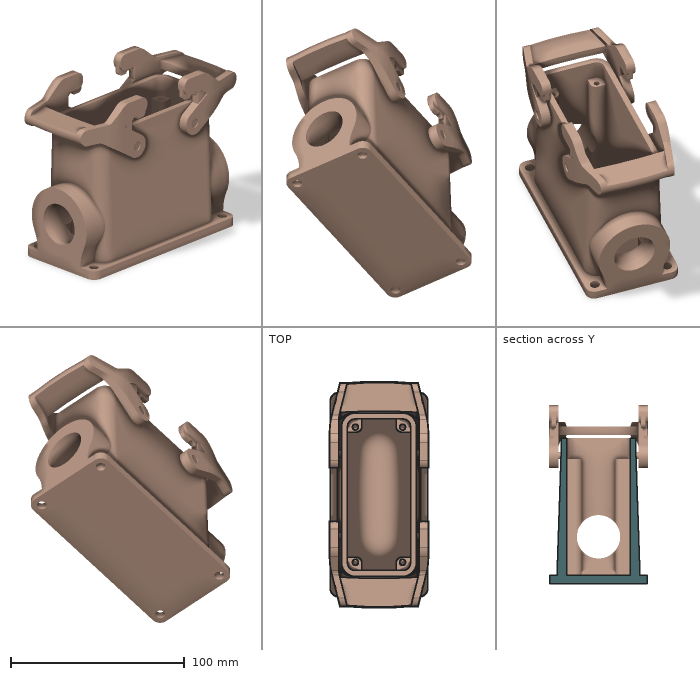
import cadquery as cq
import math


FLANGE_WIDTH = 56.4
FLANGE_LENGTH = 117.7
FLANGE_HEIGHT = 5.4
FLANGE_CORNER_RADIUS = 5.4
MOUNT_HOLE_DIAMETER = 5.7
MOUNT_HOLE_INSET = 6.0

BODY_LENGTH = 94.0
BODY_BASE_WIDTH = 48.0
RIM_WIDTH = 43.0
RIM_HEIGHT = 5.2
BODY_TOP = 84.0
BODY_CORNER_RADIUS = 7.8
WALL = 3.4
RIM_BOTTOM = BODY_TOP - RIM_HEIGHT
CAVITY_WIDTH = RIM_WIDTH - 2 * WALL
CAVITY_LENGTH = BODY_LENGTH - 2 * WALL
CAVITY_CORNER_RADIUS = BODY_CORNER_RADIUS - WALL

POST_TOP = 71.9
POST_HOLE_X = 13.6
POST_HOLE_Y = 38.9
POST_INNER_X = 9.8
POST_INNER_Y = 36.0
POST_CORNER_RADIUS = 3.4
POST_HOLE_DIAMETER = 3.4
POST_HOLE_DEPTH = 13.0

ENTRY_Z = 27.3
ENTRY_RADIUS = 21.9
ENTRY_BORE_DIAMETER = 24.9
ENTRY_NECK_HALF_WIDTH = 17.1
ENTRY_INNER_Y = BODY_LENGTH / 2 - 5.2

LEVER_OUTER_X = 28.51
LEVER_INNER_X = 23.1
LEVER_TOP = 103.0
PIVOT_Y = 23.8
PIVOT_Z = 74.0
PIVOT_END_RADIUS = 7.0
PIVOT_PIN_DIAMETER = 4.2
PIVOT_PIN_INNER_X = 20.9
PIVOT_RECESS_DIAMETER = 5.5
RECESS_DEPTH = 0.7
LINK_ANGLE = math.radians(33)

HOOK_TIP_Y = 15.4
HOOK_RADIUS = 4.3
HOOK_UNDERSIDE_Z = 93.0
NOSE_BOTTOM_Z = 89.9
NOSE_RADIUS = 2.6
NOSE_INNER_STEP = 1.3
NOSE_OUTER_STEP = 1.6
WEB_Y = 27.3
CATCH_RADIUS = 2.2
CATCH_Z = 89.5
NOTCH_BEND_Y = 29.0
NOTCH_BEND_RADIUS = 2.6
NOTCH_CORNER_Y = 34.2

SHOULDER_Y = 33.1
SHOULDER_RADIUS = 8.1
HANDLE_START_Y = 44.6
HANDLE_START_RADIUS = 4.0
HANDLE_END_Y = 64.3
HANDLE_TOP = 93.3
HANDLE_BOTTOM = 83.4
HANDLE_LINK_RADIUS = 7.7
HANDLE_END_RADIUS = (HANDLE_TOP - HANDLE_BOTTOM) / 2
HANDLE_MID_Z = (HANDLE_TOP + HANDLE_BOTTOM) / 2

BEND_ANGLE = math.radians(14)
OUTER_BEND_Y = 40.2
OUTER_BEND_RADIUS = 37.8
INNER_BEND_Y = 45.0
INNER_BEND_RADIUS = 15.7

BAR_THICKNESS = 5.0
BAR_INNER_SIDE_Y = 47.4
BAR_INNER_MID_Y = 48.2
BAR_OUTER_MID_Y = 65.2
BAR_OVERLAP = 1.3
BAR_OUTER_HALF_WIDTH = 18.3
BAR_BULGE = BAR_OUTER_MID_Y - HANDLE_END_Y
BAR_BOW_RADIUS = (BAR_OUTER_HALF_WIDTH**2 + BAR_BULGE**2) / (2 * BAR_BULGE)


def rounded_outline(plane, corners):
    """Closed outline through (u, v, radius) corners, each rounded by its radius."""
    starts, middles, ends = [], [], []
    for i, (u, v, radius) in enumerate(corners):
        corner = cq.Vector(u, v)
        to_previous = (cq.Vector(*corners[i - 1][:2]) - corner).normalized()
        to_next = (cq.Vector(*corners[(i + 1) % len(corners)][:2]) - corner).normalized()
        half_angle = to_previous.getAngle(to_next) / 2
        setback = radius / math.tan(half_angle)
        to_arc = radius / math.sin(half_angle) - radius
        starts.append(corner + to_previous * setback)
        middles.append(corner + (to_previous + to_next).normalized() * to_arc)
        ends.append(corner + to_next * setback)

    outline = cq.Workplane(plane).moveTo(ends[-1].x, ends[-1].y)
    position = ends[-1]
    for (_, _, radius), start, middle, end in zip(corners, starts, middles, ends):
        if (start - position).Length > 1.3e-06:
            outline = outline.lineTo(start.x, start.y)
        if radius > 0:
            outline = outline.threePointArc((middle.x, middle.y), (end.x, end.y))
        position = end
    return outline.close()


def upright_prism(bottom_width, top_width, length, z_bottom, z_top, corner_radius):
    """Block whose X width changes with height, with its four upright edges rounded."""
    block = (
        cq.Workplane("XZ")
        .polyline([
            (-bottom_width / 2, z_bottom),
            (bottom_width / 2, z_bottom),
            (top_width / 2, z_top),
            (-top_width / 2, z_top),
        ])
        .close()
        .extrude(length / 2, both=True)
    )
    return block.edges("(not |X) and (not |Y)").fillet(corner_radius)


def make_flange():
    hole_spacing_x = FLANGE_WIDTH - 2 * MOUNT_HOLE_INSET
    hole_spacing_y = FLANGE_LENGTH - 2 * MOUNT_HOLE_INSET
    return (
        cq.Workplane("XY")
        .rect(FLANGE_WIDTH, FLANGE_LENGTH)
        .extrude(FLANGE_HEIGHT)
        .edges("|Z")
        .fillet(FLANGE_CORNER_RADIUS)
        .faces(">Z")
        .workplane()
        .rect(hole_spacing_x, hole_spacing_y, forConstruction=True)
        .vertices()
        .hole(MOUNT_HOLE_DIAMETER)
    )


def make_shell_block():
    tapered = upright_prism(
        BODY_BASE_WIDTH, RIM_WIDTH, BODY_LENGTH, FLANGE_HEIGHT, RIM_BOTTOM, BODY_CORNER_RADIUS
    )
    rim = upright_prism(RIM_WIDTH, RIM_WIDTH, BODY_LENGTH, RIM_BOTTOM, BODY_TOP, BODY_CORNER_RADIUS)
    return tapered.union(rim)


def make_cavity():
    return (
        cq.Workplane("XY", origin=(0, 0, FLANGE_HEIGHT))
        .rect(CAVITY_WIDTH, CAVITY_LENGTH)
        .extrude(BODY_TOP - FLANGE_HEIGHT)
        .edges("|Z")
        .fillet(CAVITY_CORNER_RADIUS)
    )


def make_posts(shell_block):
    """Four corner posts, trimmed to the outside of the shell."""
    size_x = BODY_BASE_WIDTH / 2 - POST_INNER_X
    size_y = BODY_LENGTH / 2 - POST_INNER_Y
    post = (
        cq.Workplane("XY", origin=(POST_INNER_X, POST_INNER_Y, FLANGE_HEIGHT))
        .rect(size_x, size_y, centered=False)
        .extrude(POST_TOP - FLANGE_HEIGHT)
        .edges("|Z and <X and <Y")
        .fillet(POST_CORNER_RADIUS)
    )
    hole = (
        cq.Workplane("XY", origin=(POST_HOLE_X, POST_HOLE_Y, POST_TOP))
        .circle(POST_HOLE_DIAMETER / 2)
        .extrude(-POST_HOLE_DEPTH)
    )
    post = post.intersect(shell_block).cut(hole)
    pair = post.union(post.mirror("YZ"))
    return pair.union(pair.mirror("XZ"))


def make_entry():
    """Round cable entry on the -Y end, flowing into a neck on the foot."""
    rise = ENTRY_Z - FLANGE_HEIGHT
    neck_radius = (ENTRY_NECK_HALF_WIDTH**2 + rise**2 - ENTRY_RADIUS**2) / (
        2 * (ENTRY_RADIUS - ENTRY_NECK_HALF_WIDTH)
    )
    neck_centre_x = ENTRY_NECK_HALF_WIDTH + neck_radius
    neck_angle = math.asin(rise / (ENTRY_RADIUS + neck_radius))
    tangent_x = ENTRY_RADIUS * math.cos(neck_angle)
    tangent_z = ENTRY_Z - ENTRY_RADIUS * math.sin(neck_angle)
    neck_mid_x = neck_centre_x - neck_radius * math.cos(neck_angle / 2)
    neck_mid_z = FLANGE_HEIGHT + neck_radius * math.sin(neck_angle / 2)
    return (
        cq.Workplane("XZ", origin=(0, -ENTRY_INNER_Y, 0))
        .moveTo(-ENTRY_NECK_HALF_WIDTH, 0)
        .lineTo(ENTRY_NECK_HALF_WIDTH, 0)
        .lineTo(ENTRY_NECK_HALF_WIDTH, FLANGE_HEIGHT)
        .threePointArc((neck_mid_x, neck_mid_z), (tangent_x, tangent_z))
        .threePointArc((0, ENTRY_Z + ENTRY_RADIUS), (-tangent_x, tangent_z))
        .threePointArc((-neck_mid_x, neck_mid_z), (-ENTRY_NECK_HALF_WIDTH, FLANGE_HEIGHT))
        .close()
        .extrude(FLANGE_LENGTH / 2 - ENTRY_INNER_Y)
    )


def link_upper_z(y):
    """Height of the upper edge of the sloping link at distance y."""
    return PIVOT_Z + PIVOT_END_RADIUS / math.cos(LINK_ANGLE) + (y - PIVOT_Y) * math.tan(LINK_ANGLE)


def arm_side_profile():
    """Side outline of a lever arm, extruded from the middle of the part past its outer face."""
    along_y = PIVOT_END_RADIUS * math.cos(LINK_ANGLE)
    along_z = PIVOT_END_RADIUS * math.sin(LINK_ANGLE)
    link_half_height = PIVOT_END_RADIUS / math.cos(LINK_ANGLE)
    handle_rise = HANDLE_BOTTOM - PIVOT_Z + link_half_height
    handle_link_y = PIVOT_Y + handle_rise / math.tan(LINK_ANGLE)
    corners = [
        (PIVOT_Y - along_y + along_z, PIVOT_Z - along_z - along_y, PIVOT_END_RADIUS),
        (handle_link_y, HANDLE_BOTTOM, HANDLE_LINK_RADIUS),
        (HANDLE_END_Y, HANDLE_BOTTOM, HANDLE_END_RADIUS),
        (HANDLE_END_Y, HANDLE_TOP, HANDLE_END_RADIUS),
        (HANDLE_START_Y, HANDLE_TOP, HANDLE_START_RADIUS),
        (SHOULDER_Y, LEVER_TOP, SHOULDER_RADIUS),
        (HOOK_TIP_Y, LEVER_TOP, HOOK_RADIUS),
        (HOOK_TIP_Y, HOOK_UNDERSIDE_Z, HOOK_RADIUS),
        (WEB_Y, HOOK_UNDERSIDE_Z, 0),
        (WEB_Y, link_upper_z(WEB_Y), 0),
        (PIVOT_Y - along_y - along_z, PIVOT_Z - along_z + along_y, PIVOT_END_RADIUS),
    ]
    return rounded_outline("YZ", corners).extrude(LEVER_OUTER_X)


def inner_face_x(y):
    """X of the sloping inner face of an arm beyond its bend."""
    return LEVER_INNER_X - (y - INNER_BEND_Y) * math.tan(BEND_ANGLE)


def arm_plan():
    """Bent strip followed by an arm as seen along Z."""
    outer_end_x = LEVER_OUTER_X - (HANDLE_END_Y - OUTER_BEND_Y) * math.tan(BEND_ANGLE)
    corners = [
        (LEVER_INNER_X, 0, 0),
        (LEVER_OUTER_X, 0, 0),
        (LEVER_OUTER_X, OUTER_BEND_Y, OUTER_BEND_RADIUS),
        (outer_end_x, HANDLE_END_Y, 0),
        (inner_face_x(HANDLE_END_Y), HANDLE_END_Y, 0),
        (LEVER_INNER_X, INNER_BEND_Y, INNER_BEND_RADIUS),
    ]
    return rounded_outline("XY", corners).extrude(LEVER_TOP)


def web_recess():
    """Shallow step in the outer face of an arm around the web between hook and link."""
    return (
        rounded_outline("YZ", [
            (WEB_Y, link_upper_z(WEB_Y), 0),
            (NOTCH_CORNER_Y, link_upper_z(NOTCH_CORNER_Y), 0),
            (NOTCH_BEND_Y, HOOK_UNDERSIDE_Z, NOTCH_BEND_RADIUS),
            (WEB_Y, HOOK_UNDERSIDE_Z, 0),
        ])
        .extrude(RECESS_DEPTH)
        .translate((LEVER_OUTER_X - RECESS_DEPTH, 0, 0))
    )


def x_cylinder(y, z, diameter, x_start, x_end):
    return (
        cq.Workplane("YZ", origin=(x_start, y, z))
        .circle(diameter / 2)
        .extrude(x_end - x_start)
    )


def make_nose():
    """Narrow nose under the hook, with a round catch notch above the pivot."""
    inner_x = LEVER_INNER_X + NOSE_INNER_STEP
    outer_x = LEVER_OUTER_X - NOSE_OUTER_STEP
    nose = (
        rounded_outline("YZ", [
            (HOOK_TIP_Y, NOSE_BOTTOM_Z, NOSE_RADIUS),
            (WEB_Y, NOSE_BOTTOM_Z, 0),
            (WEB_Y, HOOK_UNDERSIDE_Z + HOOK_RADIUS, 0),
            (HOOK_TIP_Y, HOOK_UNDERSIDE_Z + HOOK_RADIUS, 0),
        ])
        .extrude(outer_x - inner_x)
        .translate((inner_x, 0, 0))
    )
    return nose.cut(x_cylinder(PIVOT_Y, CATCH_Z, 2 * CATCH_RADIUS, inner_x, outer_x))


def make_arm():
    recess_floor_x = LEVER_OUTER_X - RECESS_DEPTH
    pivot_recess = x_cylinder(PIVOT_Y, PIVOT_Z, PIVOT_RECESS_DIAMETER, recess_floor_x, LEVER_OUTER_X)
    pin = x_cylinder(PIVOT_Y, PIVOT_Z, PIVOT_PIN_DIAMETER, PIVOT_PIN_INNER_X, recess_floor_x)
    arm = arm_side_profile().intersect(arm_plan())
    return arm.cut(web_recess()).cut(pivot_recess).union(make_nose()).union(pin)


def make_grip_bar():
    """Bar between the arms, its outer face bowed in plan and rounded like the handle ends."""
    inner_x = inner_face_x(BAR_INNER_SIDE_Y) + BAR_OVERLAP
    outer_x = inner_face_x(BAR_OUTER_MID_Y) + BAR_OVERLAP
    half_thickness = BAR_THICKNESS / 2
    plan = (
        cq.Workplane("XY", origin=(0, 0, HANDLE_MID_Z))
        .moveTo(-inner_x, BAR_INNER_SIDE_Y)
        .threePointArc((0, BAR_INNER_MID_Y), (inner_x, BAR_INNER_SIDE_Y))
        .lineTo(outer_x, BAR_OUTER_MID_Y)
        .lineTo(-outer_x, BAR_OUTER_MID_Y)
        .close()
        .extrude(half_thickness, both=True)
    )
    edge_setback = HANDLE_END_RADIUS - math.sqrt(HANDLE_END_RADIUS**2 - half_thickness**2)
    edge_radius = BAR_BOW_RADIUS - edge_setback
    bowed_disc = (
        cq.Workplane("XZ", origin=(0, BAR_OUTER_MID_Y - BAR_BOW_RADIUS, HANDLE_MID_Z))
        .moveTo(0, -half_thickness)
        .lineTo(edge_radius, -half_thickness)
        .threePointArc((BAR_BOW_RADIUS, 0), (edge_radius, half_thickness))
        .lineTo(0, half_thickness)
        .close()
        .revolve(360, (0, 0, 0), (0, 1, 0))
    )
    return plan.intersect(bowed_disc)


def make_lever():
    arm = make_arm()
    return make_grip_bar().union(arm).union(arm.mirror("YZ"))


shell_block = make_shell_block()
entry = make_entry()
bore = (
    cq.Workplane("XZ", origin=(0, 0, ENTRY_Z))
    .circle(ENTRY_BORE_DIAMETER / 2)
    .extrude(FLANGE_LENGTH / 2, both=True)
)
lever = make_lever()

result = make_flange().union(shell_block).union(entry).union(entry.mirror("XZ"))
result = result.cut(make_cavity()).union(make_posts(shell_block)).cut(bore)
result = result.union(lever).union(lever.mirror("XZ"))